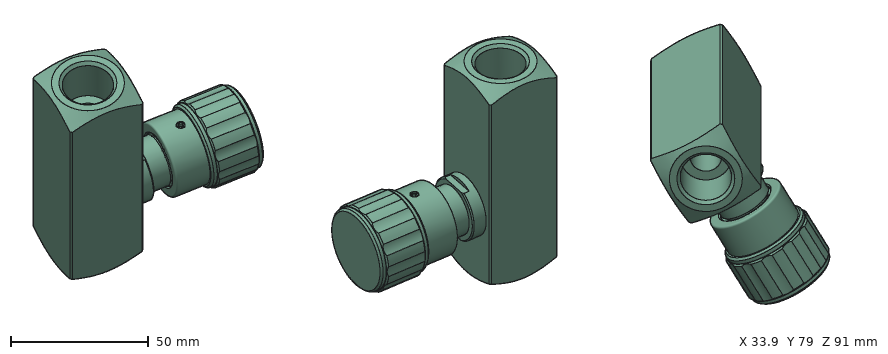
import cadquery as cq
import math

body_width = 30.0
body_height = 91.0
body_edge_chamfer = 0.7
end_face_diameter = 26.5
end_cone_angle = 30.0

port_diameter = 18.63
port_mouth_diameter = 21.0
port_mouth_angle = 45.0
port_depth = 18.0
flow_bore_diameter = 11.5

axis_above_bottom = 32.0
body_bottom = -axis_above_bottom
body_top = body_bottom + body_height
face_y = body_width / 2

boss_diameter = 25.0
boss_end = 5.8
boss_chamfer = 0.5
boss_flat_width = 22.0
boss_flat_start = 3.0

stem_diameter = 20.0
stem_end = 13.7
spindle_diameter = 17.9

collar_diameter = 29.5
collar_start = 13.9
collar_fillet = 0.8
recess_diameter = 21.0
recess_mouth_chamfer = 0.5
recess_depth = 1.2

screw_distance = 23.1
screw_hole_diameter = 3.24
screw_hole_depth = 0.7
socket_width = 2.0
socket_depth = 1.5
socket_point_depth = 0.6

knob_start = 27.4
knob_end = 48.97
knob_diameter = 32.5
knob_chamfer = 0.8
grip_start = 29.6
grip_end = 46.8
grip_diameter = 34.2
grip_chamfer = 0.6
flute_count = 12
flute_half_angle = 360 / flute_count / 4
flute_bottom_radius = 16.65

overlap = 1.0


def cylinder_on_axis(diameter, start, end):
    """Cylinder on the valve axis between two distances from the body face."""
    base = cq.Workplane("XZ", origin=(0, face_y + start, 0))
    return base.circle(diameter / 2).extrude(start - end)


def revolve_about_body_axis(profile):
    """Solid of revolution about Z from (radius, height) points."""
    outline = cq.Workplane("XZ").polyline(profile).close()
    return outline.revolve(360, (0, 0, 0), (0, 1, 0))


def end_cone():
    """Solid of revolution whose conical ends cut back the body corners."""
    end_radius = end_face_diameter / 2
    outer_radius = body_width
    drop = (outer_radius - end_radius) * math.tan(math.radians(end_cone_angle))
    profile = [
        (0, body_bottom),
        (end_radius, body_bottom),
        (outer_radius, body_bottom + drop),
        (outer_radius, body_top - drop),
        (end_radius, body_top),
        (0, body_top),
    ]
    return revolve_about_body_axis(profile)


def flow_passage():
    """Both ports with their conical mouths, and the bore between them."""
    mouth_radius = port_mouth_diameter / 2
    port_radius = port_diameter / 2
    bore_radius = flow_bore_diameter / 2
    mouth_depth = (mouth_radius - port_radius) * math.tan(math.radians(port_mouth_angle))
    profile = [
        (0, body_bottom),
        (mouth_radius, body_bottom),
        (port_radius, body_bottom + mouth_depth),
        (port_radius, body_bottom + port_depth),
        (bore_radius, body_bottom + port_depth),
        (bore_radius, body_top - port_depth),
        (port_radius, body_top - port_depth),
        (port_radius, body_top - mouth_depth),
        (mouth_radius, body_top),
        (0, body_top),
    ]
    return revolve_about_body_axis(profile)


def make_body():
    base = cq.Workplane("XY", origin=(0, 0, body_bottom))
    bar = base.rect(body_width, body_width).extrude(body_height)
    bar = bar.edges("|Z").chamfer(body_edge_chamfer)
    return bar.intersect(end_cone())


def make_boss():
    boss = cylinder_on_axis(boss_diameter, -overlap, boss_end)
    boss = boss.faces(">Y").edges().chamfer(boss_chamfer)
    flat_length = boss_end - boss_flat_start
    flat_center_y = face_y + boss_flat_start + flat_length / 2
    flat_depth = (boss_diameter - boss_flat_width) / 2
    for side in (-1, 1):
        flat_center_z = side * (boss_flat_width + flat_depth) / 2
        cutter = cq.Workplane("XY").box(boss_diameter, flat_length, flat_depth)
        boss = boss.cut(cutter.translate((0, flat_center_y, flat_center_z)))
    return boss


def set_screw_opening():
    """Hole down to the screw's top, then the hexagonal socket with a conical bottom."""
    surface_z = collar_diameter / 2
    hole_y = face_y + screw_distance
    screw_top_z = surface_z - screw_hole_depth
    socket_bottom_z = screw_top_z - socket_depth
    screw_top = cq.Workplane("XY", origin=(0, hole_y, screw_top_z))
    hole = screw_top.circle(screw_hole_diameter / 2).extrude(screw_hole_depth + overlap)
    socket_corner_diameter = socket_width / math.cos(math.pi / 6)
    socket = screw_top.polygon(6, socket_corner_diameter).extrude(-socket_depth)
    point = cq.Solid.makeCone(
        socket_width / 2,
        0,
        socket_point_depth,
        pnt=cq.Vector(0, hole_y, socket_bottom_z),
        dir=cq.Vector(0, 0, -1),
    )
    return hole.union(socket).union(cq.Workplane(point))


def make_collar():
    collar = cylinder_on_axis(collar_diameter, collar_start, knob_start + overlap)
    collar = collar.faces("<Y").edges().fillet(collar_fillet)
    recess = cylinder_on_axis(recess_diameter, collar_start, collar_start + recess_depth)
    collar = collar.cut(recess)
    recess_rim = cq.selectors.RadiusNthSelector(0)
    collar = collar.faces("<Y").edges(recess_rim).chamfer(recess_mouth_chamfer)
    return collar.cut(set_screw_opening())


def make_grip():
    """Chamfered ring of the knob with concave flutes, one of them facing +Z."""
    grip = cylinder_on_axis(grip_diameter, grip_start, grip_end)
    grip = grip.faces("<Y or >Y").edges().chamfer(grip_chamfer)
    half_angle = math.radians(flute_half_angle)
    half_width = grip_diameter / 2 * math.sin(half_angle)
    flute_depth = grip_diameter / 2 * math.cos(half_angle) - flute_bottom_radius
    flute_radius = (half_width**2 + flute_depth**2) / (2 * flute_depth)
    flute_base = cq.Workplane("XZ", origin=(0, face_y + grip_start, 0))
    flute = flute_base.center(0, flute_bottom_radius + flute_radius).circle(flute_radius)
    flute = flute.extrude(grip_start - grip_end)
    for index in range(flute_count):
        angle = index * 360 / flute_count
        grip = grip.cut(flute.rotate((0, 0, 0), (0, 1, 0), angle))
    return grip


def make_knob():
    core = cylinder_on_axis(knob_diameter, knob_start, knob_end)
    core = core.faces("<Y or >Y").edges().chamfer(knob_chamfer)
    return core.union(make_grip())


def make_stem():
    stem = cylinder_on_axis(stem_diameter, boss_end - overlap, stem_end)
    return stem.union(cylinder_on_axis(spindle_diameter, stem_end - overlap, knob_start + overlap))


body_side = make_body().union(make_boss()).union(make_stem())
handle = make_collar().union(make_knob())
result = body_side.union(handle)
result = result.cut(flow_passage())